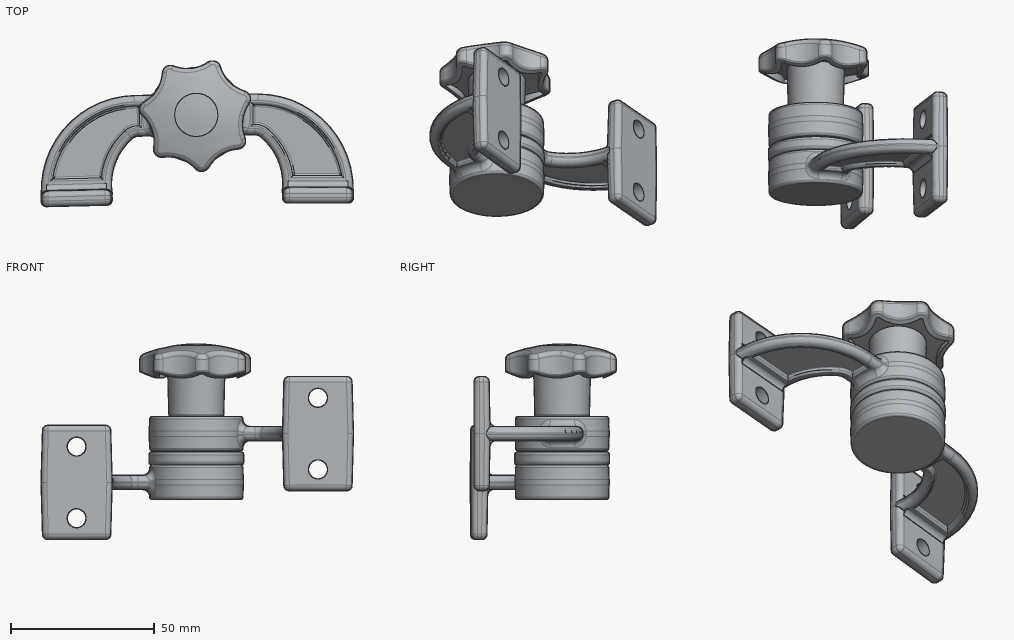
import cadquery as cq
import math

HUB_BAND_RADIUS = 16.5
HUB_END_RADIUS = 16.3
HUB_HEIGHT = 12.0
HUB_BAND_HEIGHT = 2.0
HUB_EDGE_FILLET = 0.9

ARM_THICKNESS = 5.0
ARM_TOP_Y = 7.3
ARM_INNER_Y = -7.0
ARM_OUTER_RADIUS = 33.3
ARM_OUTER_END_X = 54.9
ARM_INNER_RADIUS = 21.3
ARM_INNER_END_X = 30.2
ARM_INNER_ARC_Y = -24.0
ARM_INNER_CORNER = 3.3
ARM_EDGE_FILLET = 2.3
ARM_ROOT_X = 5.5
HUB_BLEND_RADIUS = 2.5
PLATE_BLEND_RADIUS = 2.0

WEB_THICKNESS = 2.0
POCKET_INSET = 3.7
POCKET_LEFT_X = 19.9
POCKET_BOTTOM_Y = -21.2
POCKET_FILLET = 0.71

PLATE_HEIGHT = 40.0
PLATE_CENTRE_X = 42.5
PLATE_FRONT_Y = -30.8
PLATE_MID_WIDTH = 24.9
PLATE_END_WIDTH = 23.8
PLATE_MID_THICKNESS = 5.7
PLATE_END_THICKNESS = 5.4
PLATE_FILLET = 2.0
HOLE_DIAMETER = 6.6
HOLE_SPACING = 25.0

LOWER_BRACKET_ANGLE = 1.4

RING_RADIUS = 16.6
RING_HEIGHT = 5.0
RING_FILLET = 1.1
RING_STEP_RADIUS = 15.1
RING_STEP_HEIGHT = 0.3

LOBE_COUNT = 7
LOBE_ANGLE = 19.1
KNOB_TIP_RADIUS = 19.9
LOBE_ROUND = 3.0
KNOB_HOLLOW_RADIUS = 16.4
KNOB_TOP_Z = 54.4
DOME_RADIUS = 50.3
UNDERSIDE_HOLLOW_Z = 43.3
UNDERSIDE_SLOPE = 0.4
KNOB_WALL = 2.0
CAVITY_CEILING_Z = 45.4
ENVELOPE_MARGIN = 1.1
KNOB_TOP_FILLET = 2.0
KNOB_BOTTOM_FILLET = 0.7
STEM_TOP_RADIUS = 10.1
STEM_BOTTOM_RADIUS = 9.6
STEM_FILLET = 0.7

CAP_RADIUS = 7.5
CAP_EDGE_HEIGHT = 2.0

SELECT_MARGIN = 0.1

RING_Z = HUB_HEIGHT
UPPER_HUB_Z = RING_Z + RING_HEIGHT
STEM_Z = UPPER_HUB_Z + HUB_HEIGHT
LOWER_MID_Z = HUB_HEIGHT / 2
UPPER_MID_Z = UPPER_HUB_Z + HUB_HEIGHT / 2


def arm_outline(inset, left_x, bottom_y):
    """Outline of the arm moved inward by inset, cut off at left_x and bottom_y."""
    outer_x = ARM_OUTER_END_X - ARM_OUTER_RADIUS
    outer_y = ARM_TOP_Y - ARM_OUTER_RADIUS
    outer_r = ARM_OUTER_RADIUS - inset
    outer_end_angle = math.asin((bottom_y - outer_y) / outer_r)
    outer_mid_angle = (outer_end_angle + math.pi / 2) / 2

    inner_x = ARM_INNER_END_X - ARM_INNER_RADIUS
    inner_r = ARM_INNER_RADIUS + inset
    inner_end_angle = math.asin((bottom_y - ARM_INNER_ARC_Y) / inner_r)

    corner_r = ARM_INNER_CORNER + inset
    corner_y = ARM_INNER_Y - ARM_INNER_CORNER
    centre_gap = ARM_INNER_RADIUS - ARM_INNER_CORNER
    join_angle = math.asin((corner_y - ARM_INNER_ARC_Y) / centre_gap)
    corner_x = inner_x + centre_gap * math.cos(join_angle)
    corner_mid_angle = (join_angle + math.pi / 2) / 2
    inner_mid_angle = (inner_end_angle + join_angle) / 2

    def on_outer(angle):
        return outer_x + outer_r * math.cos(angle), outer_y + outer_r * math.sin(angle)

    def on_inner(angle):
        return inner_x + inner_r * math.cos(angle), ARM_INNER_ARC_Y + inner_r * math.sin(angle)

    def on_corner(angle):
        return corner_x + corner_r * math.cos(angle), corner_y + corner_r * math.sin(angle)

    return (
        cq.Workplane("XY")
        .moveTo(left_x, ARM_TOP_Y - inset)
        .lineTo(outer_x, ARM_TOP_Y - inset)
        .threePointArc(on_outer(outer_mid_angle), on_outer(outer_end_angle))
        .lineTo(*on_inner(inner_end_angle))
        .threePointArc(on_inner(inner_mid_angle), on_inner(join_angle))
        .threePointArc(on_corner(corner_mid_angle), on_corner(math.pi / 2))
        .lineTo(left_x, ARM_INNER_Y + inset)
        .close()
    )


def half_hub():
    """Hub half with a straight band at the middle and a slight taper above it."""
    return (
        cq.Workplane("XZ")
        .lineTo(HUB_BAND_RADIUS, 0)
        .lineTo(HUB_BAND_RADIUS, HUB_BAND_HEIGHT / 2)
        .lineTo(HUB_END_RADIUS, HUB_HEIGHT / 2)
        .lineTo(0, HUB_HEIGHT / 2)
        .close()
        .revolve(360, (0, 0, 0), (0, 1, 0))
        .faces(">Z")
        .edges()
        .fillet(HUB_EDGE_FILLET)
    )


def half_arm():
    """Arm half with rounded long edges; its two cut ends lie inside the hub and the plate."""
    arm_end_y = PLATE_FRONT_Y + PLATE_MID_THICKNESS - PLATE_FILLET
    arm = arm_outline(0, ARM_ROOT_X, arm_end_y).extrude(ARM_THICKNESS / 2)
    return arm.faces(">Z").edges("not (|Y or <Y)").fillet(ARM_EDGE_FILLET)


def pocket():
    """Recess above the web, rounded at its floor."""
    depth = (ARM_THICKNESS - WEB_THICKNESS) / 2
    return (
        arm_outline(POCKET_INSET, POCKET_LEFT_X, POCKET_BOTTOM_Y)
        .extrude(depth)
        .faces("<Z")
        .edges()
        .fillet(POCKET_FILLET)
        .translate((0, 0, WEB_THICKNESS / 2))
    )


def half_plate():
    """Mounting plate half that tapers toward its end and has rounded edges."""
    mid_y = PLATE_FRONT_Y + PLATE_MID_THICKNESS / 2
    end_shift = (PLATE_END_THICKNESS - PLATE_MID_THICKNESS) / 2
    return (
        cq.Workplane("XY", origin=(PLATE_CENTRE_X, mid_y, 0))
        .rect(PLATE_MID_WIDTH, PLATE_MID_THICKNESS)
        .workplane(offset=PLATE_HEIGHT / 2)
        .center(0, end_shift)
        .rect(PLATE_END_WIDTH, PLATE_END_THICKNESS)
        .loft(ruled=True)
        .edges("not <Z")
        .fillet(PLATE_FILLET)
    )


def plate_blend():
    """Concave fillet strip between the arm face and the back of the plate."""
    back_y = PLATE_FRONT_Y + PLATE_END_THICKNESS
    arm_z = ARM_THICKNESS / 2
    tip_y = PLATE_FRONT_Y + PLATE_MID_THICKNESS + PLATE_BLEND_RADIUS
    tip_z = arm_z + PLATE_BLEND_RADIUS
    root_y = PLATE_FRONT_Y + PLATE_MID_THICKNESS
    diagonal = PLATE_BLEND_RADIUS * math.sqrt(0.5)
    width = PLATE_MID_WIDTH - 2 * PLATE_FILLET
    return (
        cq.Workplane("YZ", origin=(PLATE_CENTRE_X - width / 2, 0, 0))
        .moveTo(back_y, 0)
        .lineTo(tip_y, 0)
        .lineTo(tip_y, arm_z)
        .threePointArc((tip_y - diagonal, tip_z - diagonal), (root_y, tip_z))
        .lineTo(back_y, tip_z)
        .close()
        .extrude(width)
    )


def bracket():
    """Hub, arm and mounting plate in one piece, arm toward +X, middle plane at Z = 0."""
    half = half_hub().union(half_arm())
    arm_z = ARM_THICKNESS / 2

    seam_x = math.sqrt(HUB_END_RADIUS**2 - ARM_TOP_Y**2)
    hub_seam = cq.selectors.BoxSelector(
        (seam_x, ARM_INNER_Y - SELECT_MARGIN, SELECT_MARGIN),
        (HUB_BAND_RADIUS, ARM_TOP_Y + SELECT_MARGIN, arm_z + SELECT_MARGIN),
    )
    half = half.edges(hub_seam).fillet(HUB_BLEND_RADIUS)

    pocket_rim = cq.selectors.BoxSelector(
        (POCKET_LEFT_X - SELECT_MARGIN, POCKET_BOTTOM_Y - SELECT_MARGIN, arm_z - SELECT_MARGIN),
        (ARM_OUTER_END_X - POCKET_INSET, ARM_TOP_Y - POCKET_INSET + SELECT_MARGIN, arm_z + SELECT_MARGIN),
    )
    half = half.cut(pocket()).edges(pocket_rim).fillet(POCKET_FILLET)

    half = half.union(half_plate()).union(plate_blend())
    whole = half.union(half.mirror("XY"))
    holes = (
        cq.Workplane("XZ", origin=(PLATE_CENTRE_X, 0, 0))
        .pushPoints([(0, HOLE_SPACING / 2), (0, -HOLE_SPACING / 2)])
        .circle(HOLE_DIAMETER / 2)
        .extrude(-PLATE_FRONT_Y)
    )
    return whole.cut(holes)


def spacer_ring():
    """Round-edged ring with a low step that carries the upper hub."""
    return (
        cq.Workplane("XY", origin=(0, 0, RING_Z))
        .circle(RING_RADIUS)
        .extrude(RING_HEIGHT - RING_STEP_HEIGHT)
        .edges()
        .fillet(RING_FILLET)
        .faces(">Z")
        .workplane()
        .circle(RING_STEP_RADIUS)
        .extrude(RING_STEP_HEIGHT)
    )


def polar(radius, angle):
    return radius * math.cos(angle), radius * math.sin(angle)


def star_prism(inset, top_z):
    """Prism of seven rounded lobes joined tangentially by hollows, moved inward by inset."""
    half_pitch = math.pi / LOBE_COUNT
    tip_radius = KNOB_TIP_RADIUS - inset
    hollow_radius = KNOB_HOLLOW_RADIUS - inset
    lobe_round = LOBE_ROUND - inset
    lobe_centre = tip_radius - lobe_round
    cosine = math.cos(half_pitch)
    numerator = lobe_centre**2 + hollow_radius**2 - 2 * lobe_centre * hollow_radius * cosine - lobe_round**2
    hollow_round = numerator / (2 * (lobe_round - hollow_radius + lobe_centre * cosine))
    hollow_x, hollow_y = polar(hollow_radius + hollow_round, half_pitch)
    share = lobe_round / (lobe_round + hollow_round)
    touch_x = lobe_centre + share * (hollow_x - lobe_centre)
    touch_y = share * hollow_y
    touch_radius = math.hypot(touch_x, touch_y)
    touch_angle = math.atan2(touch_y, touch_x)

    first_angle = math.radians(LOBE_ANGLE)
    start = polar(touch_radius, first_angle - touch_angle)
    outline = cq.Workplane("XY", origin=(0, 0, STEM_Z)).moveTo(*start)
    for lobe in range(LOBE_COUNT):
        angle = first_angle + lobe * 2 * half_pitch
        outline = outline.threePointArc(
            polar(tip_radius, angle), polar(touch_radius, angle + touch_angle)
        ).threePointArc(
            polar(hollow_radius, angle + half_pitch),
            polar(touch_radius, angle + 2 * half_pitch - touch_angle),
        )
    return outline.close().extrude(top_z - STEM_Z)


def dome_z(radius):
    """Height of the knob's spherical top at a radius from the axis."""
    return KNOB_TOP_Z - DOME_RADIUS + math.sqrt(DOME_RADIUS**2 - radius**2)


def knob_envelope():
    """Turned shape with a spherical top and a conical underside, wider than the star."""
    rim_radius = KNOB_TIP_RADIUS + ENVELOPE_MARGIN
    apex_z = UNDERSIDE_HOLLOW_Z - UNDERSIDE_SLOPE * KNOB_HOLLOW_RADIUS
    return (
        cq.Workplane("XZ")
        .moveTo(0, apex_z)
        .lineTo(rim_radius, apex_z + UNDERSIDE_SLOPE * rim_radius)
        .lineTo(rim_radius, dome_z(rim_radius))
        .threePointArc((rim_radius / 2, dome_z(rim_radius / 2)), (0, KNOB_TOP_Z))
        .close()
        .revolve(360, (0, 0, 0), (0, 1, 0))
    )


def cap():
    """Round plug whose top continues the dome of the knob."""
    seat_z = dome_z(CAP_RADIUS) - CAP_EDGE_HEIGHT
    return (
        cq.Workplane("XZ")
        .moveTo(0, seat_z)
        .lineTo(CAP_RADIUS, seat_z)
        .lineTo(CAP_RADIUS, dome_z(CAP_RADIUS))
        .threePointArc((CAP_RADIUS / 2, dome_z(CAP_RADIUS / 2)), (0, KNOB_TOP_Z))
        .close()
        .revolve(360, (0, 0, 0), (0, 1, 0))
    )


def knob_stem():
    """Tapered stem that reaches from the upper hub to the ceiling of the knob's cavity."""
    return (
        cq.Workplane("XZ")
        .moveTo(0, STEM_Z)
        .lineTo(STEM_BOTTOM_RADIUS, STEM_Z)
        .lineTo(STEM_TOP_RADIUS, CAVITY_CEILING_Z)
        .lineTo(0, CAVITY_CEILING_Z)
        .close()
        .revolve(360, (0, 0, 0), (0, 1, 0))
        .faces("<Z")
        .edges()
        .fillet(STEM_FILLET)
    )


def star_knob():
    """Star head, hollow underneath, on a tapered stem."""
    head = star_prism(0, KNOB_TOP_Z).intersect(knob_envelope())
    head = head.faces(">Z").edges().fillet(KNOB_TOP_FILLET)
    head = head.faces("%CONE").edges("not %LINE").fillet(KNOB_BOTTOM_FILLET)
    head = head.cut(star_prism(KNOB_WALL, CAVITY_CEILING_Z))
    return head.union(knob_stem()).cut(cap())


BRACKET_PLACES = [(0, 0, UPPER_MID_Z), (180, LOWER_BRACKET_ANGLE, LOWER_MID_Z)]

bracket_shape = bracket()
brackets = []
for flip, turn, mid_z in BRACKET_PLACES:
    placed = bracket_shape.rotate((0, 0, 0), (0, 1, 0), flip).rotate((0, 0, 0), (0, 0, 1), turn)
    brackets.append(placed.translate((0, 0, mid_z)).val())

ring = spacer_ring()
knob = star_knob()
knob_cap = cap()

result = cq.Compound.makeCompound([*brackets, ring.val(), knob.val(), knob_cap.val()])